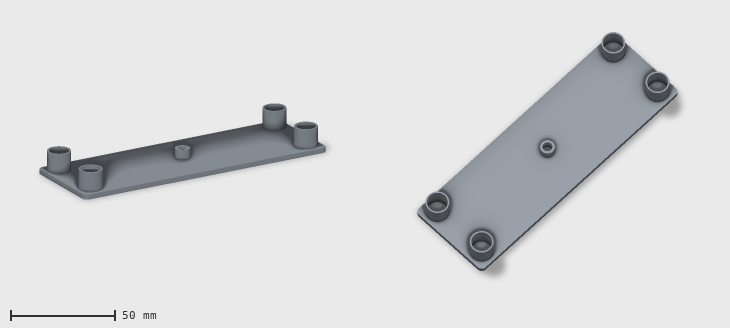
import cadquery as cq

plate_length = 135.0
plate_width = 45.0
plate_thickness = 2.5
corner_radius = 2.5

overall_height = 12.5
socket_outer_diameter = 11.5
socket_bore_diameter = 10.0
socket_spacing_x = 30.0
socket_spacing_y = 120.0
socket_height = overall_height - plate_thickness

boss_outer_diameter = 7.2
boss_bore_diameter = 4.7
boss_height = 5.0


def tube(outer_diameter, bore_diameter, height, x=0, y=0):
    """Upright tube standing on the plate; its bore stops at the plate's top face."""
    return (
        cq.Workplane("XY", origin=(x, y, plate_thickness))
        .circle(outer_diameter / 2)
        .circle(bore_diameter / 2)
        .extrude(height)
    )


result = (
    cq.Workplane("XY")
    .box(plate_width, plate_length, plate_thickness, centered=(True, True, False))
    .edges("|Z")
    .fillet(corner_radius)
)

for side_x in (-1, 1):
    for side_y in (-1, 1):
        result = result.union(
            tube(
                socket_outer_diameter,
                socket_bore_diameter,
                socket_height,
                side_x * socket_spacing_x / 2,
                side_y * socket_spacing_y / 2,
            )
        )

result = result.union(tube(boss_outer_diameter, boss_bore_diameter, boss_height))